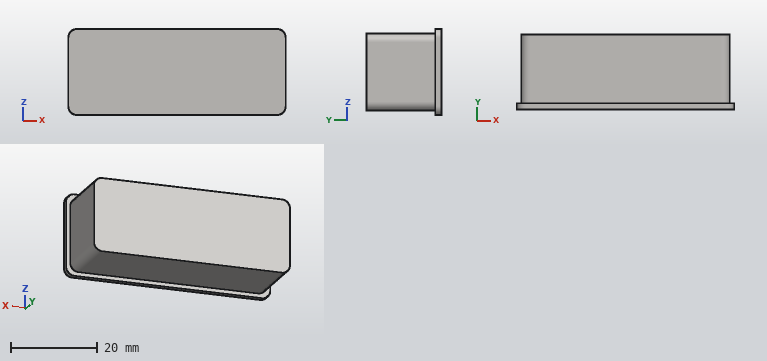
import cadquery as cq

flange_length = 50.5
flange_height = 20.0
flange_thickness = 1.5

total_depth = 17.5
flange_overhang = 1.0
body_length = flange_length - 2 * flange_overhang
body_height = flange_height - 2 * flange_overhang

corner_radius = 2.0


def rounded_block(length, height, depth):
    """Block centred on X and Z, running from Y = 0 toward +Y, with rounded edges along Y."""
    block = cq.Workplane("XY").box(length, depth, height, centered=(True, False, True))
    return block.edges("|Y").fillet(corner_radius)


flange = rounded_block(flange_length, flange_height, flange_thickness)
body = rounded_block(body_length, body_height, total_depth)

result = flange.union(body)